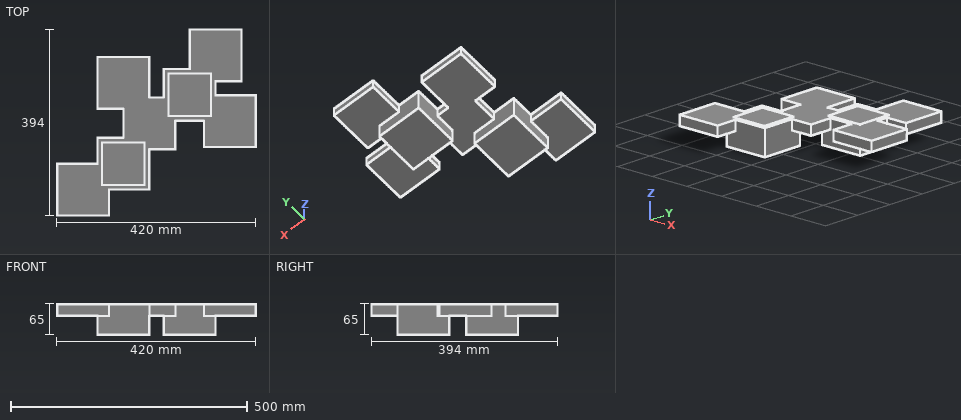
import cadquery as cq

tile_side = 110.0
total_height = 65.0
slab_thickness = 25.0
slab_bottom = total_height - slab_thickness

wall = 10.0
floor_thickness = wall
fill_side = tile_side - 2 * wall
fill_height = total_height - floor_thickness

front_tub = (85.0, 55.0)
back_tub = (225.0, 200.5)
tub_corners = [front_tub, back_tub]

outer_length = 420.0
outer_width = 394.0
slab_corners = [
    (0, 0),
    (140.0, 140.0),
    (front_tub[0], 225.5),
    (outer_length - tile_side, 144.5),
    (280.0, outer_width - tile_side),
]


def square_block(corner, side, bottom, height):
    """Square block with its lower-left corner at the given place."""
    x, y = corner
    return cq.Workplane("XY").box(side, side, height, centered=False).translate((x, y, bottom))


def make_fill(tub_corner):
    """Block that fills a tub from its floor to its rim."""
    x, y = tub_corner
    return square_block((x + wall, y + wall), fill_side, floor_thickness, fill_height)


def make_slabs():
    """Thin tiles, trimmed where their corners meet the tubs."""
    slabs = cq.Workplane("XY")
    for corner in slab_corners:
        slabs = slabs.union(square_block(corner, tile_side, slab_bottom, slab_thickness))
    for corner in tub_corners:
        slabs = slabs.cut(square_block(corner, tile_side, 0, total_height))
    return slabs


def make_housing():
    """Slabs and hollow tubs as one solid, keeping the seams in the flush top."""
    housing = make_slabs()
    for corner in tub_corners:
        tub = square_block(corner, tile_side, 0, total_height).cut(make_fill(corner))
        housing = housing.union(tub, clean=False)
    return housing


housing_solids = make_housing().solids().vals()
fills = [make_fill(corner).val() for corner in tub_corners]

result = cq.Compound.makeCompound([*housing_solids, *fills])